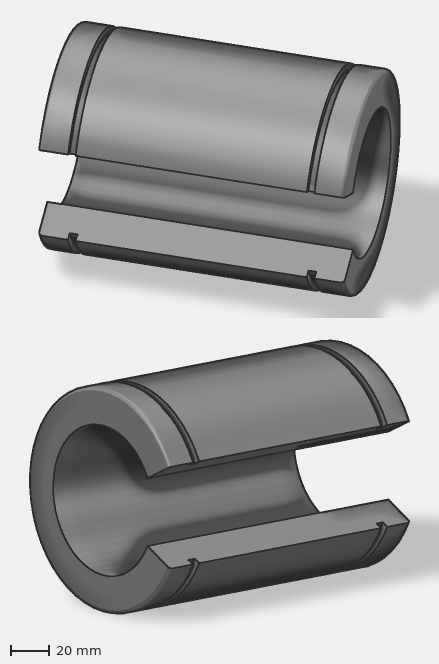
import cadquery as cq
import math

length = 165.0
outer_diameter = 120.0
bore_diameter = 80.0
edge_radius = 2.0

groove_span = 133.0
groove_width = 4.15
groove_depth = 4.0

opening_width_at_bore = 36.3

cut_clearance = 1.0

outer_radius = outer_diameter / 2
bore_radius = bore_diameter / 2


def sleeve_body():
    """Full tube centred on the origin with rounded outer end edges."""
    cylinder = cq.Workplane("YZ").circle(outer_radius).extrude(length / 2, both=True)
    rounded = cylinder.faces("<X or >X").edges().fillet(edge_radius)
    bore = cq.Workplane("YZ").circle(bore_radius).extrude(length / 2, both=True)
    return rounded.cut(bore)


def ring_groove(x_start):
    """Ring of material removed for one retaining ring."""
    return (
        cq.Workplane("YZ")
        .workplane(offset=x_start)
        .circle(outer_radius + cut_clearance)
        .circle(outer_radius - groove_depth)
        .extrude(groove_width)
    )


def opening():
    """Wedge from the axis toward -Y that opens the sleeve over its full length."""
    half_angle = math.asin(opening_width_at_bore / 2 / bore_radius)
    reach = outer_radius + cut_clearance
    half_width = reach * math.tan(half_angle)
    return (
        cq.Workplane("YZ")
        .polyline([(0, 0), (-reach, half_width), (-reach, -half_width)])
        .close()
        .extrude(length / 2, both=True)
    )


result = sleeve_body()
for groove_start in (-groove_span / 2, groove_span / 2 - groove_width):
    result = result.cut(ring_groove(groove_start))
result = result.cut(opening())